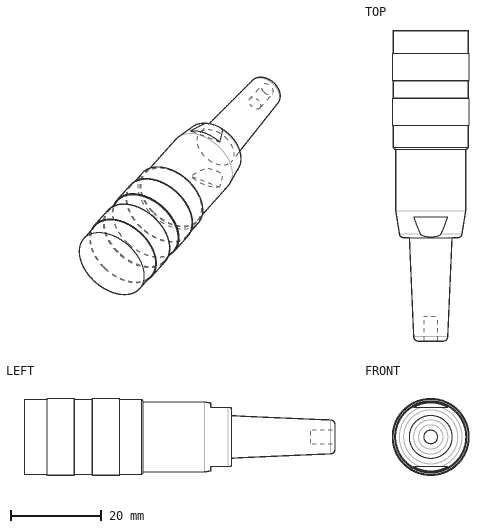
import cadquery as cq

total_length = 68.5
rear_ring_start = 5.0
ring_length = 6.1
ring_gap = 3.8
sleeve_length = 26.2
body_length = 39.7
flat_start = 41.1
collar_end = 45.7

sleeve_diameter = 16.6
ring_diameter = 17.0
body_diameter = 15.5
collar_end_diameter = 13.55
tail_root_diameter = 9.45
tail_tip_diameter = 7.5
tip_hole_diameter = 3.0

flat_spacing = 13.1
tip_hole_depth = 5.5
ring_edge_chamfer = 0.15
sleeve_edge_chamfer = 0.35
collar_fillet = 0.95
tip_fillet = 1.1


def frustum(start, end, start_diameter, end_diameter):
    """Solid of revolution about Y between two stations, with a straight side."""
    return (
        cq.Workplane("XY")
        .moveTo(0, -start)
        .lineTo(start_diameter / 2, -start)
        .lineTo(end_diameter / 2, -end)
        .lineTo(0, -end)
        .close()
        .revolve(360, (0, 0, 0), (0, 1, 0))
    )


def cylinder(start, end, diameter):
    return frustum(start, end, diameter, diameter)


sleeve = cylinder(0, sleeve_length, sleeve_diameter).faces("<Y").edges().chamfer(sleeve_edge_chamfer)

rear_ring_end = rear_ring_start + ring_length
front_ring_start = rear_ring_end + ring_gap
front_ring_end = front_ring_start + ring_length
rear_ring = cylinder(rear_ring_start, rear_ring_end, ring_diameter)
rear_ring = rear_ring.faces("<Y").edges().chamfer(ring_edge_chamfer)
front_ring = cylinder(front_ring_start, front_ring_end, ring_diameter)
front_ring = front_ring.faces(">Y").edges().chamfer(ring_edge_chamfer)

body = cylinder(sleeve_length, body_length, body_diameter)
collar = frustum(body_length, collar_end, body_diameter, collar_end_diameter)
collar = collar.faces("<Y").edges().fillet(collar_fillet)

flat_length = collar_end - flat_start
flat_cut_height = body_diameter - flat_spacing
for side in (1, -1):
    flat_cutter = cq.Workplane("XY").box(body_diameter, flat_length, flat_cut_height).translate(
        (0, -(flat_start + collar_end) / 2, side * (flat_spacing + flat_cut_height) / 2)
    )
    collar = collar.cut(flat_cutter)

tail = frustum(collar_end, total_length, tail_root_diameter, tail_tip_diameter)
tail = tail.faces("<Y").edges().fillet(tip_fillet)
tail = tail.cut(cylinder(total_length - tip_hole_depth, total_length, tip_hole_diameter))

result = sleeve.union(rear_ring).union(front_ring).union(body).union(collar).union(tail)